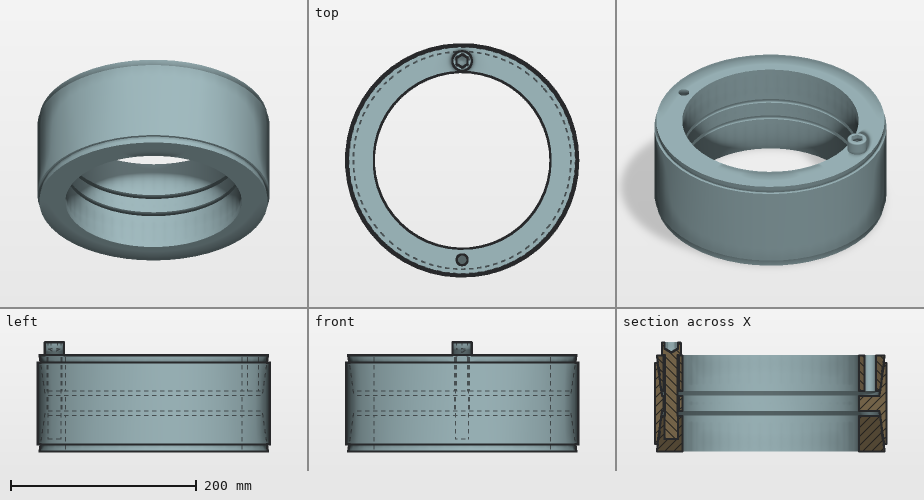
import cadquery as cq
import math

sleeve_diameter = 250.0
bore_diameter = 190.0
overall_height = 104.0
ring_height = 38.8
ring_end_diameter = 246.0
ring_protrusion = 8.0
taper_angle = 8.0
web_height = 16.8
gap_height = (overall_height - web_height) / 2 - ring_height

hole_circle_radius = 107.0
jacking_hole_diameter = 11.8
clearance_diameter = 16.0
shank_diameter = 14.0
thread_engagement = 25.0
head_diameter = 21.0
head_height = 14.0
head_edge_radius = 1.5
socket_across_flats = 12.0
socket_depth = 7.0
socket_cone_angle = 120.0

sleeve_radius = sleeve_diameter / 2
bore_radius = bore_diameter / 2
ring_end_radius = ring_end_diameter / 2
web_bottom = ring_height + gap_height
web_top = web_bottom + web_height
upper_ring_bottom = overall_height - ring_height
shank_bottom = ring_height - thread_engagement


def taper_radius(depth):
    """Radius of the taper at a distance inward from the outer end of a ring."""
    return ring_end_radius - depth * math.tan(math.radians(taper_angle))


def revolve_about_z(points):
    """Full revolution of a closed (radius, z) outline."""
    return cq.Workplane("XZ").polyline(points).close().revolve(360, (0, 0), (0, 1))


def post(diameter, bottom, top, y):
    """Vertical cylinder on the YZ plane of symmetry."""
    return cq.Workplane("XY", origin=(0, y, bottom)).circle(diameter / 2).extrude(top - bottom)


def make_sleeve():
    """Outer sleeve: tapered seats at both ends, separated by a web that reaches the bore."""
    mouth_radius = taper_radius(ring_protrusion)
    seat_radius = taper_radius(web_bottom)
    body = revolve_about_z([
        (sleeve_radius, ring_protrusion),
        (sleeve_radius, overall_height - ring_protrusion),
        (mouth_radius, overall_height - ring_protrusion),
        (seat_radius, web_top),
        (bore_radius, web_top),
        (bore_radius, web_bottom),
        (seat_radius, web_bottom),
        (mouth_radius, ring_protrusion),
    ])
    return body.cut(post(clearance_diameter, web_bottom, web_top, hole_circle_radius))


def make_tapered_ring(outer_end_z, inner_end_z):
    """Ring that narrows from its outer end face towards the web."""
    return revolve_about_z([
        (bore_radius, outer_end_z),
        (ring_end_radius, outer_end_z),
        (taper_radius(ring_height), inner_end_z),
        (bore_radius, inner_end_z),
    ])


def make_upper_ring():
    """Upper ring with the screw clearance hole and the opposite jacking hole."""
    ring = make_tapered_ring(overall_height, upper_ring_bottom)
    ring = ring.cut(post(clearance_diameter, upper_ring_bottom, overall_height, hole_circle_radius))
    return ring.cut(post(jacking_hole_diameter, upper_ring_bottom, overall_height, -hole_circle_radius))


def make_lower_ring():
    """Lower ring with the blind hole that holds the screw end."""
    ring = make_tapered_ring(0, ring_height)
    return ring.cut(post(shank_diameter, shank_bottom, ring_height, hole_circle_radius))


def make_socket(top):
    """Hexagonal socket with corners on the Y axis and a conical bottom."""
    corner_radius = socket_across_flats / 2 / math.cos(math.radians(30))
    cone_depth = corner_radius / math.tan(math.radians(socket_cone_angle / 2))
    full_depth = socket_depth + cone_depth
    hexagon = (
        cq.Workplane("XY", origin=(0, hole_circle_radius, top))
        .transformed(rotate=(0, 0, 90))
        .polygon(6, 2 * corner_radius)
        .extrude(-full_depth)
    )
    drill = revolve_about_z([
        (0, top),
        (corner_radius, top),
        (corner_radius, top - socket_depth),
        (0, top - full_depth),
    ]).translate((0, hole_circle_radius, 0))
    return hexagon.intersect(drill)


def make_screw():
    """Socket head screw seated on the upper ring."""
    head_top = overall_height + head_height
    head = post(head_diameter, overall_height, head_top, hole_circle_radius)
    head = head.faces(">Z").fillet(head_edge_radius)
    shank = post(shank_diameter, shank_bottom, overall_height, hole_circle_radius)
    return head.union(shank).cut(make_socket(head_top))


sleeve = make_sleeve()
upper_ring = make_upper_ring()
lower_ring = make_lower_ring()
screw = make_screw()

result = cq.Compound.makeCompound([
    sleeve.solids().val(),
    upper_ring.solids().val(),
    lower_ring.solids().val(),
    screw.solids().val(),
])